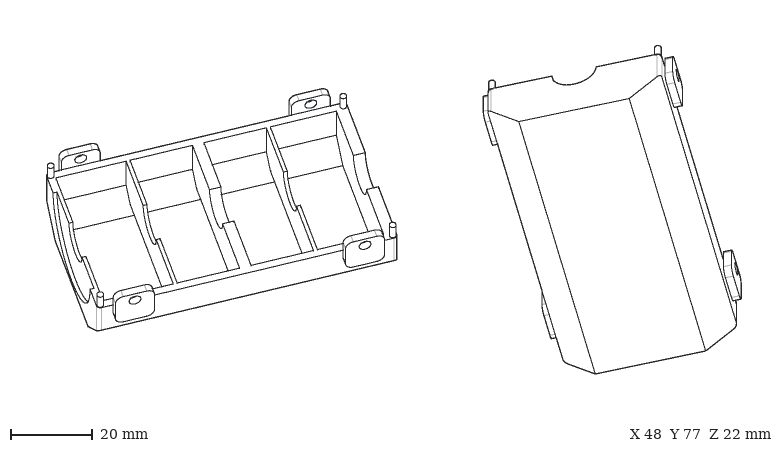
import cadquery as cq

LENGTH = 77.0
WIDTH = 44.0
HEIGHT = 17.0
OUTER_BEVEL = 8.0
CORNER_RADIUS = 1.0

SIDE_WALL = 2.0
FRONT_WALL = 2.0
BACK_WALL = 3.1
MIDDLE_WALL = 2.9
THIN_WALL = 1.0
FRONT_POCKET = 18.0
INNER_POCKET = 16.0
FLOOR = 2.0
POCKET_WIDTH = WIDTH - 2 * SIDE_WALL
POCKET_DEPTH = HEIGHT - FLOOR
POCKET_BEVEL = 5.5

PASSAGE_HEIGHT = 2.0

SHAFT_DIAMETER = 11.1
RECESS_DIAMETER = 31.35
RECESS_DEPTH = FRONT_WALL / 2

LUG_SIZE = 10.0
LUG_THICKNESS = 2.0
LUG_RADIUS = 2.0
LUG_RISE = 5.0
LUG_END_GAP = 4.0
LUG_HOLE_DIAMETER = 3.0
LUG_HOLE_DROP = LUG_RISE / 2

PIN_DIAMETER = 1.7
PIN_HEIGHT = 4.0

FRONT_Y = -LENGTH / 2
BACK_Y = LENGTH / 2


def beveled_prism(width, depth, bevel, y_start, y_length):
    """Prism along Y, flush with the rim, with both lower edges bevelled."""
    half = width / 2
    return (
        cq.Workplane("XZ", origin=(0, y_start, 0))
        .moveTo(-half, 0)
        .lineTo(half, 0)
        .lineTo(half, bevel - depth)
        .lineTo(half - bevel, -depth)
        .lineTo(bevel - half, -depth)
        .lineTo(-half, bevel - depth)
        .close()
        .extrude(-y_length)
    )


def rim_cylinder(diameter, y_start, y_length):
    """Cylinder along Y whose axis lies on the rim plane."""
    return cq.Workplane("XZ", origin=(0, y_start, 0)).circle(diameter / 2).extrude(-y_length)


def pocket_spans():
    """Start and length along Y of each compartment, from the -Y end."""
    front_start = FRONT_Y + FRONT_WALL
    second_start = front_start + FRONT_POCKET + THIN_WALL
    third_start = second_start + INNER_POCKET + MIDDLE_WALL
    back_start = third_start + INNER_POCKET + THIN_WALL
    return [
        (front_start, FRONT_POCKET),
        (second_start, INNER_POCKET),
        (third_start, INNER_POCKET),
        (back_start, BACK_Y - BACK_WALL - back_start),
    ]


def make_passage():
    """Low passage joining the compartments along the floor, beneath the inner walls."""
    spans = pocket_spans()
    start = spans[0][0]
    last_start, last_length = spans[-1]
    passage_length = last_start + last_length - start
    cavity = beveled_prism(POCKET_WIDTH, POCKET_DEPTH, POCKET_BEVEL, start, passage_length)
    upper_part = (
        cq.Workplane("XY", origin=(0, 0, PASSAGE_HEIGHT - POCKET_DEPTH))
        .rect(WIDTH, LENGTH)
        .extrude(POCKET_DEPTH)
    )
    return cavity.cut(upper_part)


def make_housing():
    housing = beveled_prism(WIDTH, HEIGHT, OUTER_BEVEL, FRONT_Y, LENGTH)
    housing = housing.edges("|Z").fillet(CORNER_RADIUS)
    for start, length in pocket_spans():
        pocket = beveled_prism(POCKET_WIDTH, POCKET_DEPTH, POCKET_BEVEL, start, length)
        housing = housing.cut(pocket)
    housing = housing.cut(make_passage())
    housing = housing.cut(rim_cylinder(SHAFT_DIAMETER, FRONT_Y, LENGTH))
    return housing.cut(rim_cylinder(RECESS_DIAMETER, FRONT_Y, RECESS_DEPTH))


def make_lug(side, end):
    """Rounded square plate with one hole, lying against a long side of the housing."""
    center_x = side * (WIDTH + LUG_THICKNESS) / 2
    center_y = end * (LENGTH / 2 - LUG_END_GAP - LUG_SIZE / 2)
    center_z = LUG_RISE - LUG_SIZE / 2
    hole_z = LUG_SIZE / 2 - LUG_HOLE_DROP
    return (
        cq.Workplane("XY")
        .box(LUG_THICKNESS, LUG_SIZE, LUG_SIZE)
        .edges("|X")
        .fillet(LUG_RADIUS)
        .faces(">X")
        .workplane(origin=(0, 0, 0))
        .center(0, hole_z)
        .hole(LUG_HOLE_DIAMETER)
        .translate((center_x, center_y, center_z))
    )


def make_pin(side, end):
    """Upright pin on the rim, concentric with a rounded housing corner."""
    center_x = side * (WIDTH / 2 - CORNER_RADIUS)
    center_y = end * (LENGTH / 2 - CORNER_RADIUS)
    return cq.Workplane("XY").center(center_x, center_y).circle(PIN_DIAMETER / 2).extrude(PIN_HEIGHT)


housing = make_housing()
corners = [(side, end) for side in (-1, 1) for end in (-1, 1)]
lugs = [make_lug(side, end) for side, end in corners]
pins = [make_pin(side, end) for side, end in corners]

result = cq.Compound.makeCompound([
    housing.val(),
    *[lug.val() for lug in lugs],
    *[pin.val() for pin in pins],
])